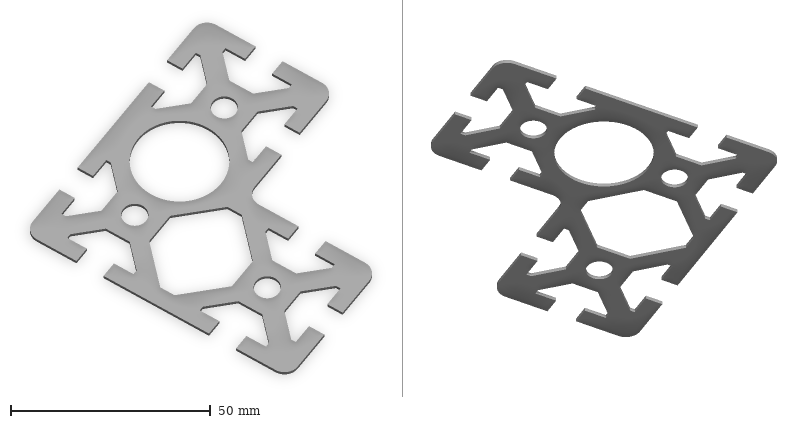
import cadquery as cq

module = 40.0
thickness = 1.0
corner_radius = 4.0

slot_opening = 8.2
lip_depth = 4.6
slot_width = 20.0
slot_wall = 1.4
slot_depth = 12.4
slot_floor = 7.2

core_hole_diameter = 6.8
round_cavity_diameter = 25.0
cavity_width = 25.0
cavity_height = 30.0
cavity_chamfer = 10.3

half = module / 2
corner_cell = (-half, -half)
right_cell = (half, -half)
upper_cell = (-half, half)

open_sides = [
    (corner_cell, (180, 270)),
    (right_cell, (0, 90, 270)),
    (upper_cell, (0, 90, 180)),
]


def make_body():
    """L-shaped plate of three cells with all of its corners rounded."""
    outline = [
        (-module, -module),
        (module, -module),
        (module, 0),
        (0, 0),
        (0, module),
        (-module, module),
    ]
    plate = cq.Workplane("XY").polyline(outline).close().extrude(thickness)
    return plate.edges("|Z").fillet(corner_radius)


def make_slot(center, direction):
    """Cutter for a T-slot on the side of a cell that faces the given direction."""
    taper_start = half - lip_depth - slot_wall
    lower_half = [
        (half, -slot_opening / 2),
        (half - lip_depth, -slot_opening / 2),
        (half - lip_depth, -slot_width / 2),
        (taper_start, -slot_width / 2),
        (half - slot_depth, -slot_floor / 2),
    ]
    upper_half = [(x, -y) for x, y in reversed(lower_half)]
    slot = cq.Workplane("XY").polyline(lower_half + upper_half).close().extrude(thickness)
    return slot.rotate((0, 0, 0), (0, 0, 1), direction).translate((*center, 0))


def make_octagonal_cavity():
    """Cutter for the chamfered cavity between the corner cell and the right cell."""
    cavity = cq.Workplane("XY").center(0, -half).rect(cavity_width, cavity_height).extrude(thickness)
    return cavity.edges("|Z").chamfer(cavity_chamfer)


def make_round_holes():
    """Cutter for the core hole of each cell and the large round cavity."""
    core_holes = (
        cq.Workplane("XY")
        .pushPoints([corner_cell, right_cell, upper_cell])
        .circle(core_hole_diameter / 2)
        .extrude(thickness)
    )
    round_cavity = cq.Workplane("XY").center(-half, 0).circle(round_cavity_diameter / 2).extrude(thickness)
    return core_holes.union(round_cavity)


result = make_body()
for cell, directions in open_sides:
    for facing in directions:
        result = result.cut(make_slot(cell, facing))
result = result.cut(make_octagonal_cavity())
result = result.cut(make_round_holes())